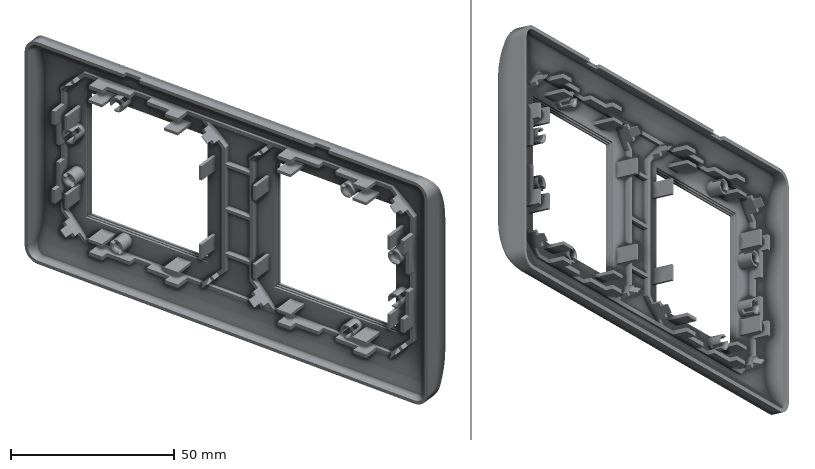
import cadquery as cq
import math

width = 150.7
height = 80.0
depth = 9.8
corner_radius = 5.0
wall = 1.2
edge_round = 0.5
lip_depth = 1.4

flat_half_outer = 23.8
edge_depth_outer = 4.0
flat_half_inner = 22.5
floor_y = 8.0
edge_depth_inner = 3.3
wall_taper = 4.0

gang_x = 35.3
window = 43.7
rebate_steps = 2
rebate_step_width = 0.5
rebate_step_depth = 0.6

octagon_inner_half = 29.4
octagon_chamfer = 7.5
rib = 1.28
root_y = 8.1
low_y = 6.0
medium_y = 3.5
tall_y = 0.9
tab_start = 3.2
tab_step = 11.8
tab_end = 16.6
diagonal_tab_length = 5.5
tooth_length = 2.9
tooth_tip = 0.3

finger_offset = 25.2
finger_length = 5.1
finger_centre = 14.2
finger_thickness = 1.0
finger_tip_y = 0.6

post_offset = 25.6
post_along = 7.8
post_radius = 2.49
post_bore = 1.5
post_countersink = 2.0
post_tip_y = 3.0
post_slit = 1.5
post_slit_depth = 3.5

cross_rib = 1.0
cross_rib_z = 16.1
notch_x = 35.4
notch_length = 5.9


def box(x_range, y_range, z_range):
    size = [end - start for start, end in (x_range, y_range, z_range)]
    return cq.Workplane().box(*size, centered=False).translate((x_range[0], y_range[0], z_range[0]))


def centred_box(x, z, x_size, z_size, y_start, y_end):
    return box((x - x_size / 2, x + x_size / 2), (y_start, y_end), (z - z_size / 2, z + z_size / 2))


def back_plane(y):
    """XZ workplane at the given Y, facing -Y; negative extrusions run toward +Y."""
    return cq.Workplane(cq.Plane(origin=(0, y, 0), xDir=(1, 0, 0), normal=(0, -1, 0)))


def domed_bar(half_height, flat_half, edge_y, top_y):
    """Bar along X with a flat top and an arc, tangent to the flat, along each long edge."""
    run = half_height - flat_half
    drop = top_y - edge_y
    radius = (run**2 + drop**2) / (2 * drop)
    half_angle = math.asin(run / radius) / 2
    mid_z = flat_half + radius * math.sin(half_angle)
    mid_y = top_y - radius * (1 - math.cos(half_angle))
    return (
        cq.Workplane("YZ", origin=(-width / 2, 0, 0))
        .moveTo(0, -half_height)
        .lineTo(edge_y, -half_height)
        .threePointArc((mid_y, -mid_z), (top_y, -flat_half))
        .lineTo(top_y, flat_half)
        .threePointArc((mid_y, mid_z), (edge_y, half_height))
        .lineTo(0, half_height)
        .close()
        .extrude(width)
    )


def shell():
    outer = back_plane(0).rect(width, height).extrude(-depth).edges("|Y").fillet(corner_radius)
    outer = outer.intersect(domed_bar(height / 2, flat_half_outer, edge_depth_outer, depth))
    outer = outer.faces(">Y").edges(">X").fillet(edge_round)

    opening = (
        cq.Sketch()
        .rect(width - 2 * wall, height - 2 * wall)
        .vertices()
        .fillet(corner_radius - wall)
    )
    mouth = back_plane(0).placeSketch(opening).extrude(-lip_depth)
    cavity = back_plane(lip_depth).placeSketch(opening).extrude(lip_depth - depth, taper=wall_taper)
    cavity = cavity.intersect(domed_bar(height / 2 - wall, flat_half_inner, edge_depth_inner, floor_y))
    return outer.cut(mouth).cut(cavity)


def octagon(half, chamfer):
    return (
        back_plane(low_y)
        .rect(2 * half, 2 * half)
        .extrude(low_y - root_y)
        .edges("|Y")
        .chamfer(chamfer)
    )


def tab(along, length, tip_y, offset):
    return centred_box(along, offset, length, rib, tip_y, root_y)


def gang_left():
    """Ribs, tabs, fingers and posts of the left gang, about its window centre."""
    outer_half = octagon_inner_half + rib
    outer_chamfer = octagon_chamfer + rib * (2 - math.sqrt(2))
    parts = octagon(outer_half, outer_chamfer).cut(octagon(octagon_inner_half, octagon_chamfer))

    side_offset = octagon_inner_half + rib / 2
    for side_angle in (0, -90, 180):
        for sign in (-1, 1):
            medium = tab(sign * (tab_start + tab_end) / 2, tab_end - tab_start, medium_y, side_offset)
            tall = tab(sign * (tab_step + tab_end) / 2, tab_end - tab_step, tall_y, side_offset)
            parts = parts.union(medium.union(tall).rotate((0, 0, 0), (0, 1, 0), side_angle))

    diagonal_inner = math.sqrt(2) * (octagon_inner_half - octagon_chamfer / 2)
    diagonal_tab = tab(0, diagonal_tab_length, medium_y, diagonal_inner + rib / 2)
    tooth = (
        cq.Workplane("YZ", origin=(-tooth_length / 2, 0, 0))
        .moveTo(medium_y, diagonal_inner)
        .lineTo(tall_y, diagonal_inner + rib - tooth_tip)
        .lineTo(tall_y, diagonal_inner + rib)
        .lineTo(medium_y, diagonal_inner + rib)
        .close()
        .extrude(tooth_length)
    )
    for quarter in range(4):
        parts = parts.union(diagonal_tab.union(tooth).rotate((0, 0, 0), (0, 1, 0), 45 + 90 * quarter))

    for quarter in range(4):
        for sign in (-1, 1):
            finger = centred_box(
                sign * finger_centre, finger_offset, finger_length, finger_thickness, finger_tip_y, root_y
            )
            parts = parts.union(finger.rotate((0, 0, 0), (0, 1, 0), 90 * quarter))

    for sign in (-1, 1):
        parts = parts.union(post(-post_along, sign * post_offset))
        parts = parts.union(post(-post_offset, sign * post_along))
    return parts


def post(x, z):
    """Tube with a countersunk mouth and a slit across it, at right angles to the diagonal of its quadrant."""
    tube = back_plane(post_tip_y).circle(post_radius).circle(post_bore).extrude(post_tip_y - root_y)
    tube = tube.faces("<Y").edges("%CIRCLE").edges(cq.selectors.RadiusNthSelector(0)).chamfer(
        post_countersink - post_bore
    )
    slit_end = post_tip_y + post_slit_depth
    slit = centred_box(0, 0, 2 * post_radius, post_slit, post_tip_y, slit_end)
    slit = slit.rotate((0, 0, 0), (0, 1, 0), 45 if x * z > 0 else -45)
    return tube.cut(slit).translate((x, 0, z))


def bridge():
    """Ribs that join the two octagons across the middle."""
    half_gap = gang_x - octagon_inner_half - rib / 2
    parts = cq.Workplane()
    for z in (-cross_rib_z, 0, cross_rib_z):
        parts = parts.union(centred_box(0, z, 2 * half_gap, cross_rib, low_y, root_y))
    joining_half = gang_x - octagon_inner_half + octagon_chamfer
    for sign in (-1, 1):
        z = sign * (octagon_inner_half + rib / 2)
        parts = parts.union(centred_box(0, z, 2 * joining_half, rib, low_y, root_y))
    return parts


left = gang_left().translate((-gang_x, 0, 0))
result = shell().union(left).union(left.mirror("YZ")).union(bridge())

for side in (-1, 1):
    for step in range(rebate_steps + 1):
        opening = window + 2 * rebate_step_width * (rebate_steps - step)
        opening_end = depth - rebate_step_depth * (rebate_steps - step)
        result = result.cut(centred_box(side * gang_x, 0, opening, opening, 0, opening_end))
    result = result.cut(centred_box(side * notch_x, height / 2, notch_length, 4 * wall, 0, lip_depth))